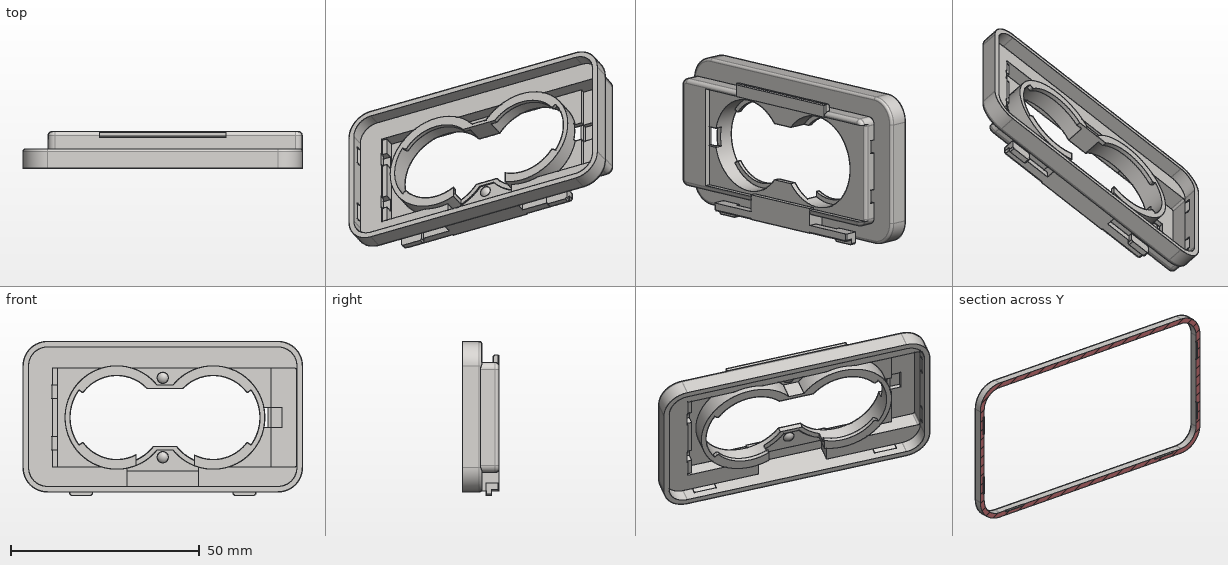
import cadquery as cq
import math

frame_length = 74.05
frame_height = 39.9
frame_depth = 5.2
frame_corner = 6.5
frame_back_round = 0.75
wall = 1.5
plate_front = frame_depth - wall

total_depth = 9.8
middle_z = -0.2
housing_left = -30.4
housing_right = 36.95
housing_height = 29.2
housing_corner = 1.85
housing_back_round = 1.1

pocket_left = -27.9
pocket_right = housing_right - wall
pocket_height = housing_height - 2 * wall
pocket_corner = 0.6
pocket_floor = 7.0
deep_pocket_left = 28.65
deep_pocket_floor = total_depth - wall
ledge_left = -29.2
ledge_front = 4.3

back_recess_floor = deep_pocket_floor
back_recess_right = 27.85
back_recess_height = 26.35
back_recess_round = 0.9

ring_middle_x = 0.6
ring_spacing = 25.55
ring_radius = 13.7
bore_radius = 12.4
lip_radius = 11.1
ring_neck = 17.2
bore_neck = 15.3
ring_front = 2.2
lip_thickness = 1.1
lip_back = ring_front + lip_thickness
lip_gap_half_angle = math.radians(36)
lip_tip_round = 0.4
low_rim_front = 6.7
low_rim_left = -7.0
low_rim_right = 8.4

dome_radius = 1.5
dome_offset = 10.5
dome_rise = 0.75

notch_width = 18.95
notch_top = -14.45
block_wall = 1.5
block_bottom = -19.7

top_lip_width = 33.4
top_lip_top = 16.35
rail_thickness = 1.6
edge_chamfer = 0.45
back_chamfer = 0.3
hook_rail_top = -17.55
hook_width = 6.1
hook_offset = 21.6
hook_front = 6.3
hook_thickness = 1.5
hook_bottom = -20.9

window_height = 3.55
window_pitch = 13.55
window_back = 6.3
window_left = -29.4
latch_front = 6.3
latch_floor = 9.4
latch_right = 31.6
latch_height = 5.2
snap_front = 2.1
snap_depth = 0.45
side_snap_height = 4.95
side_snap_offset = 8.9
floor_snap_offset = 25.1
floor_snap_middle_x = 0.3

inner_half_length = frame_length / 2 - wall
inner_half_height = frame_height / 2 - wall


def box(x_range, y_range, z_range):
    """Box between two limits along each axis."""
    sizes = [high - low for low, high in (x_range, y_range, z_range)]
    return (
        cq.Workplane("XY")
        .box(*sizes, centered=False)
        .translate((x_range[0], y_range[0], z_range[0]))
    )


def around(middle, size):
    """Limits of a length centred on a place."""
    return (middle - size / 2, middle + size / 2)


def edges_near(x, y_range, z):
    """Selector for the edges centred close to a place in X and Z."""
    margin = 0.1
    low = (x - margin, y_range[0] - margin, z - margin)
    high = (x + margin, y_range[1] + margin, z + margin)
    return cq.selectors.BoxSelector(low, high)


def rounded_block(x_range, y_range, z_range, corner):
    """Box whose four edges along Y are rounded."""
    return box(x_range, y_range, z_range).edges("|Y").fillet(corner)


def double_round(radius, neck, front, back):
    """Two discs joined by a straight neck, between two depths."""
    shape = box(
        around(ring_middle_x, ring_spacing / 2), (front, back), around(middle_z, neck)
    )
    for side in (-1, 1):
        centre = (ring_middle_x + side * ring_spacing / 2, front, middle_z)
        disc = cq.Workplane("XZ").circle(radius).extrude(front - back).translate(centre)
        shape = shape.union(disc)
    return shape


def make_frame():
    shell = rounded_block(
        around(0, frame_length), (0, frame_depth), around(0, frame_height), frame_corner
    )
    shell = shell.faces(">Y").edges().fillet(frame_back_round)
    cavity = rounded_block(
        (-inner_half_length, inner_half_length),
        (0, plate_front),
        (-inner_half_height, inner_half_height),
        frame_corner - wall,
    )
    return shell.cut(cavity)


def make_housing():
    housing = rounded_block(
        (housing_left, housing_right),
        (plate_front, total_depth),
        around(middle_z, housing_height),
        housing_corner,
    )
    housing = housing.faces(">Y").edges().fillet(housing_back_round)
    recess = box(
        (housing_left, back_recess_right),
        (back_recess_floor, total_depth),
        around(middle_z, back_recess_height),
    )
    recess_edge = edges_near(housing_left, (back_recess_floor, back_recess_floor), middle_z)
    return housing.cut(recess).edges(recess_edge).fillet(back_recess_round)


def make_pocket():
    heights = around(middle_z, pocket_height)
    ledge = box((ledge_left, pocket_left), (plate_front, ledge_front), heights)
    main = box((pocket_left, deep_pocket_left), (plate_front, pocket_floor), heights)
    deep = box((deep_pocket_left, pocket_right), (plate_front, deep_pocket_floor), heights)
    deep = deep.edges("|Y and >X").fillet(pocket_corner)
    return ledge.union(main).union(deep)


def make_lip_opening():
    """Opening through the inner lip, widened to the bore over a sector at both far ends."""
    opening = double_round(lip_radius, bore_neck, ring_front, lip_back)
    bore = double_round(bore_radius, bore_neck, ring_front, lip_back)
    reach = 2 * bore_radius
    rise = reach * math.tan(lip_gap_half_angle)
    for side in (-1, 1):
        centre_x = ring_middle_x + side * ring_spacing / 2
        sector = (
            cq.Workplane("XZ", origin=(centre_x, ring_front, middle_z))
            .polyline([(0, 0), (side * reach, rise), (side * reach, -rise)])
            .close()
            .extrude(-lip_thickness)
        )
        opening = opening.union(bore.intersect(sector))
        for level in (-1, 1):
            tip_x = centre_x + side * lip_radius * math.cos(lip_gap_half_angle)
            tip_z = middle_z + level * lip_radius * math.sin(lip_gap_half_angle)
            tip = edges_near(tip_x, (ring_front, lip_back), tip_z)
            opening = opening.edges(tip).fillet(lip_tip_round)
    return opening


def make_low_rim_cut():
    """Lowers the ring to a low rim between the two bottom arcs."""
    return box(
        (low_rim_left, low_rim_right),
        (ring_front, low_rim_front),
        (middle_z - ring_radius, middle_z),
    )


def make_domes():
    """Two shallow spherical caps standing on the pocket floor."""
    ball_radius = (dome_radius**2 + dome_rise**2) / (2 * dome_rise)
    centre_y = pocket_floor - dome_rise + ball_radius
    domes = []
    for side in (-1, 1):
        centre = (0, centre_y, middle_z + side * dome_offset)
        ball = cq.Workplane("XY").sphere(ball_radius).translate(centre)
        front_cap = box(
            around(0, 2 * ball_radius),
            (ring_front, pocket_floor + wall / 2),
            around(centre[2], 2 * ball_radius),
        )
        domes.append(ball.intersect(front_cap))
    return domes


def make_bottom_block():
    return box(
        around(0, notch_width + 2 * block_wall),
        (plate_front, total_depth),
        (block_bottom, notch_top + block_wall),
    )


def make_low_floor():
    """Carries the pocket floor down to the top of the notch."""
    return box(around(0, notch_width), (plate_front, pocket_floor), (notch_top, middle_z))


def make_notch():
    return box(
        around(0, notch_width), (plate_front, deep_pocket_floor), (-inner_half_height, notch_top)
    )


def make_top_lip():
    lip = box(
        around(0, top_lip_width),
        (total_depth - rail_thickness, total_depth),
        (middle_z + pocket_height / 2, top_lip_top),
    )
    lip = lip.edges("|X and <Y and >Z").chamfer(edge_chamfer)
    return lip.faces(">Y").edges("not <Z").chamfer(back_chamfer)


def make_hooks():
    """Rail along the lower back edge carrying two downward hooks."""
    rail = box(
        around(0, 2 * hook_offset + hook_width),
        (total_depth - rail_thickness - hook_thickness / 2, total_depth),
        (block_bottom, hook_rail_top),
    )
    rail = rail.edges("|Y and <Z").chamfer(edge_chamfer)
    rail = rail.faces(">Y").edges("not >Z").chamfer(back_chamfer)
    for side in (-1, 1):
        hook = box(
            around(side * hook_offset, hook_width),
            (hook_front, hook_front + hook_thickness),
            (hook_bottom, hook_rail_top),
        )
        hook = hook.edges("<Z and |Y").chamfer(edge_chamfer)
        rail = rail.union(hook)
    return rail


def make_windows():
    """Two windows through the -X wall of the housing, open to the ledge."""
    windows = cq.Workplane("XY")
    for side in (-1, 1):
        heights = around(middle_z + side * window_pitch / 2, window_height)
        windows = windows.add(box((window_left, pocket_left), (plate_front, window_back), heights))
        windows = windows.add(box((housing_left, pocket_left), (frame_depth, window_back), heights))
    return windows.combine()


def make_latch_slot():
    """Slot from the +X opening through the ring wall, with a deeper seat in the deep pocket."""
    heights = around(middle_z, latch_height)
    slot = box(
        (ring_middle_x + ring_spacing / 2, latch_right), (latch_front, back_recess_floor), heights
    )
    return slot.union(box((deep_pocket_left, latch_right), (latch_front, latch_floor), heights))


def snap_wedge(wall_face, along, length):
    """Snap seat in a wall facing -X, sloping from nothing to full depth towards -Y."""
    profile = [
        (wall_face, plate_front),
        (wall_face + snap_depth, snap_front),
        (wall_face - snap_depth, snap_front),
        (wall_face - snap_depth, plate_front),
    ]
    wedge = cq.Workplane("XY").polyline(profile).close().extrude(length)
    return wedge.translate((0, 0, along - length / 2))


def make_snap_recesses():
    """Two snap seats in each end wall and two in the bottom wall of the frame."""
    recesses = []
    for side in (-1, 1):
        seat = snap_wedge(inner_half_length, side * side_snap_offset, side_snap_height)
        recesses.append(seat)
        recesses.append(seat.mirror("YZ"))
        along = floor_snap_middle_x + side * floor_snap_offset
        floor_seat = snap_wedge(inner_half_height, along, hook_width)
        recesses.append(floor_seat.rotate((0, 0, 0), (0, 1, 0), 90))
    return recesses


body = make_frame().union(make_housing()).union(make_bottom_block())
body = body.union(make_top_lip()).union(make_hooks())
body = body.cut(make_pocket()).cut(make_windows()).cut(make_low_floor())
body = body.union(double_round(ring_radius, ring_neck, ring_front, back_recess_floor))
body = body.cut(double_round(bore_radius, bore_neck, lip_back, total_depth))
body = body.cut(make_lip_opening()).cut(make_low_rim_cut()).cut(make_notch())
body = body.cut(make_latch_slot())
for recess in make_snap_recesses():
    body = body.cut(recess)
for dome in make_domes():
    body = body.union(dome)
result = body